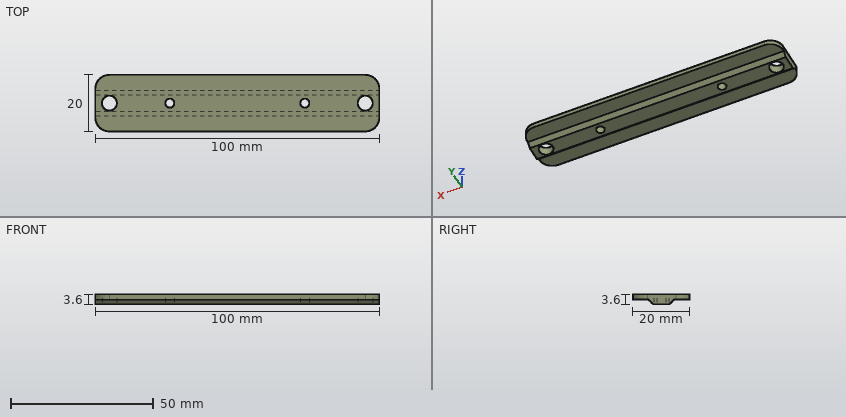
import cadquery as cq

length = 100.0
width = 20.0
plate_thickness = 2.0
corner_radius = 5.0

total_height = 3.6
rail_depth = total_height - plate_thickness
rail_top_width = 9.0
rail_bottom_width = 5.8

end_hole_diameter = 5.2
end_hole_spacing = 90.0
inner_hole_diameter = 3.1
inner_hole_spacing = 47.5


def make_plate():
    """Flat plate with rounded corners, its underside at Z = 0."""
    plate = cq.Workplane("XY").rect(length, width).extrude(plate_thickness)
    return plate.edges("|Z").fillet(corner_radius)


def make_rail():
    """Full-length rail that narrows downward from the plate's underside."""
    half_top = rail_top_width / 2
    half_bottom = rail_bottom_width / 2
    profile = [
        (-half_top, 0),
        (half_top, 0),
        (half_bottom, -rail_depth),
        (-half_bottom, -rail_depth),
    ]
    return cq.Workplane("YZ").polyline(profile).close().extrude(length / 2, both=True)


def make_hole_pair(diameter, spacing):
    """Two vertical cutters, placed symmetrically along X."""
    centres = [(-spacing / 2, 0), (spacing / 2, 0)]
    plane = cq.Workplane("XY").workplane(offset=-rail_depth)
    return plane.pushPoints(centres).circle(diameter / 2).extrude(total_height)


result = (
    make_plate()
    .union(make_rail())
    .cut(make_hole_pair(end_hole_diameter, end_hole_spacing))
    .cut(make_hole_pair(inner_hole_diameter, inner_hole_spacing))
)